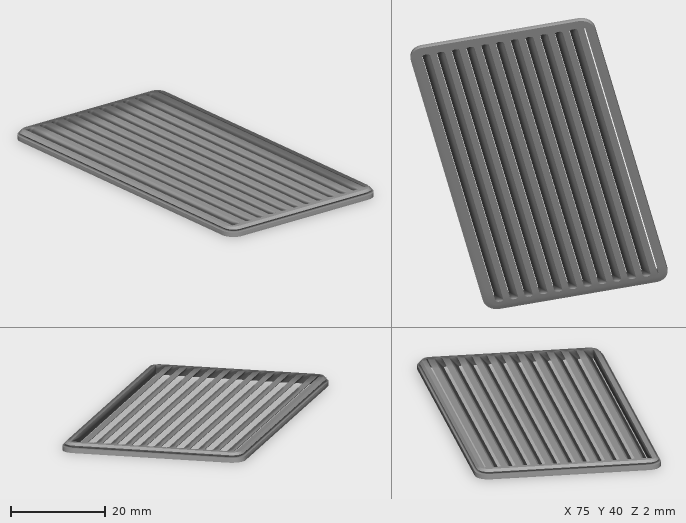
import cadquery as cq
import math

length = 75.0
width = 40.0
height = 2.0
corner_radius = 3.0

base_thickness = height / 2
ridge_rise = (height - base_thickness) / 2
ridge_angle = 45.0
crest_inset = 0.45
neck_inset = crest_inset + ridge_rise * math.tan(math.radians(ridge_angle))

window_length = 71.0
window_width = 36.0

slot_angle = math.radians(45.0)
slot_opening = 1.7
slot_corner_radius = 0.5
slot_count = 12
slot_row_span = 35.2
slot_pitch = slot_row_span / (slot_count - 1)
front_slot_back = -15.75
front_slot_opening = 2 * height


def rounded_plate(inset, bottom, thickness, taper=0.0):
    """Plate whose bottom outline lies inset from the outer outline; a negative taper flares it upward."""
    outline = cq.Sketch().rect(length - 2 * inset, width - 2 * inset)
    outline = outline.vertices().fillet(corner_radius - inset)
    return cq.Workplane("XY").workplane(offset=bottom).placeSketch(outline).extrude(thickness, taper=taper)


def louvre_slot(back, opening):
    """Round-cornered slot with its upper +Y edge at back, running down toward -Y."""
    direction = cq.Vector(0, -math.cos(slot_angle), -math.sin(slot_angle))
    mouth = cq.Plane(origin=(0, back - opening / 2, height), xDir=(1, 0, 0), normal=direction)
    section = cq.Sketch().rect(window_length, opening * math.sin(slot_angle))
    section = section.vertices().fillet(slot_corner_radius)
    reach = (height + opening) / math.sin(slot_angle)
    return cq.Workplane(mouth).placeSketch(section).extrude(reach, both=True)


crest_level = base_thickness + ridge_rise
body = rounded_plate(0, 0, base_thickness)
body = body.union(rounded_plate(neck_inset, base_thickness, ridge_rise, taper=-ridge_angle))
body = body.union(rounded_plate(crest_inset, crest_level, height - crest_level, taper=ridge_angle))

window = cq.Workplane("XY").box(window_length, window_width, height, centered=(True, True, False))
for index in range(slot_count):
    opening = front_slot_opening if index == 0 else slot_opening
    slot = louvre_slot(front_slot_back + index * slot_pitch, opening)
    body = body.cut(slot.intersect(window))

result = body